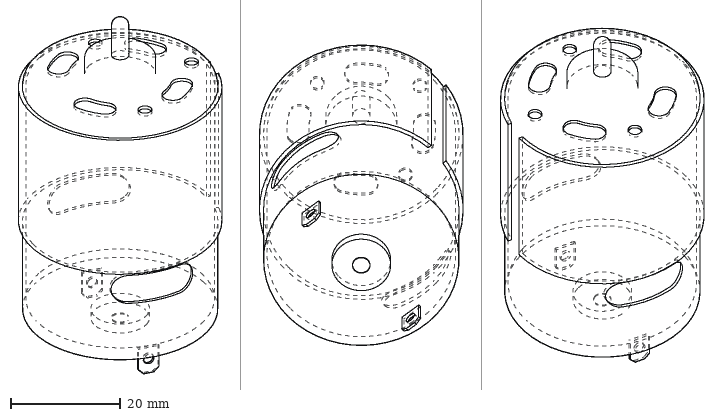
import cadquery as cq
import math


CAN_DIAMETER = 35.75
CAN_BORE = 34.51
CAN_HEIGHT = 49.95
CAN_WALL = (CAN_DIAMETER - CAN_BORE) / 2
CAN_EDGE_RADIUS = 2.0
END_CAP_THICKNESS = 2.2

RING_DIAMETER = 37.26
RING_BOTTOM = 18.85
RING_HEIGHT = 28.8
RING_GAP = 4.2

FRONT_BOSS_DIAMETER = 13.0
FRONT_BOSS_HEIGHT = 4.5
FRONT_BOSS_FILLET = 0.5
REAR_BOSS_DIAMETER = 10.75
REAR_BOSS_HEIGHT = 1.9

SHAFT_DIAMETER = 3.2
SHAFT_TOP = 62.45
SHAFT_TIP_RADIUS = 1.55
SHAFT_REAR_PROTRUSION = 0.2

HOLE_DIAMETER = 2.5
SIDE_HOLE_RADIUS = 12.5
BACK_HOLE_RADIUS = 14.0
VENT_COUNT = 4
VENT_PITCH_RADIUS = 11.6
VENT_HALF_ANGLE = 10.0
VENT_WIDTH = 4.0

WINDOW_LENGTH = 16.0
WINDOW_HEIGHT = 6.0
WINDOW_CENTRE_Z = 15.1

TAB_THICKNESS = 0.5
TAB_WIDTH = 4.0
TAB_LENGTH = 5.5
TAB_CHAMFER = 1.0
TAB_OFFSET = 14.2
TAB_HOLE_DIAMETER = 2.0
TAB_HOLE_DEPTH = 2.5


def cylinder(diameter, bottom, top):
    """Solid cylinder on the motor axis between two heights."""
    return cq.Workplane("XY").workplane(offset=bottom).circle(diameter / 2).extrude(top - bottom)


def make_can():
    """Can with a rounded front edge and filleted front boss, hollowed down to the end cap."""
    boss_top = CAN_HEIGHT + FRONT_BOSS_HEIGHT
    can = cylinder(CAN_DIAMETER, 0, CAN_HEIGHT)
    can = can.union(cylinder(FRONT_BOSS_DIAMETER, CAN_HEIGHT - CAN_WALL, boss_top))
    can = can.edges(cq.selectors.RadiusNthSelector(0)).fillet(FRONT_BOSS_FILLET)
    can = can.edges(cq.selectors.RadiusNthSelector(-1)).edges(">Z").fillet(CAN_EDGE_RADIUS)
    cavity = cylinder(CAN_BORE, END_CAP_THICKNESS, CAN_HEIGHT - CAN_WALL)
    cavity = cavity.faces(">Z").edges().fillet(CAN_EDGE_RADIUS - CAN_WALL)
    return can.cut(cavity)


def make_ring():
    """Flux ring around the can, split on the +Y side."""
    ring_top = RING_BOTTOM + RING_HEIGHT
    ring = cylinder(RING_DIAMETER, RING_BOTTOM, ring_top)
    ring = ring.cut(cylinder(CAN_DIAMETER, RING_BOTTOM, ring_top))
    gap = (
        cq.Workplane("XY")
        .workplane(offset=RING_BOTTOM)
        .center(0, RING_DIAMETER / 2)
        .rect(RING_GAP, RING_DIAMETER)
        .extrude(RING_HEIGHT)
    )
    return ring.cut(gap)


def polar_point(radius, angle):
    """Point in the XY plane at a radius and an angle in degrees from +X."""
    radians = math.radians(angle)
    return (radius * math.cos(radians), radius * math.sin(radians))


def make_vent(middle_angle):
    """Cutter for one curved vent with round ends, following a circle about the motor axis."""
    inner_radius = VENT_PITCH_RADIUS - VENT_WIDTH / 2
    outer_radius = VENT_PITCH_RADIUS + VENT_WIDTH / 2
    start = middle_angle - VENT_HALF_ANGLE
    end = middle_angle + VENT_HALF_ANGLE
    outline = (
        cq.Workplane("XY")
        .workplane(offset=CAN_HEIGHT)
        .moveTo(*polar_point(outer_radius, start))
        .threePointArc(polar_point(outer_radius, middle_angle), polar_point(outer_radius, end))
        .tangentArcPoint(polar_point(inner_radius, end), relative=False)
        .threePointArc(polar_point(inner_radius, middle_angle), polar_point(inner_radius, start))
        .tangentArcPoint(polar_point(outer_radius, start), relative=False)
        .close()
    )
    return outline.extrude(-CAN_WALL)


def make_front_openings():
    """Cutters for the three round holes and the ring of vents in the front face."""
    hole_centres = [(-SIDE_HOLE_RADIUS, 0), (SIDE_HOLE_RADIUS, 0), (0, BACK_HOLE_RADIUS)]
    face = cq.Workplane("XY").workplane(offset=CAN_HEIGHT)
    cutters = face.pushPoints(hole_centres).circle(HOLE_DIAMETER / 2).extrude(-CAN_WALL)
    vent_step = 360 / VENT_COUNT
    for index in range(VENT_COUNT):
        cutters = cutters.add(make_vent(vent_step * (index + 0.5)))
    return cutters.combine()


def make_windows():
    """Cutter for the two facing windows in the -X and +X sides of the can."""
    return (
        cq.Workplane("YZ")
        .center(0, WINDOW_CENTRE_Z)
        .slot2D(WINDOW_LENGTH, WINDOW_HEIGHT)
        .extrude(CAN_DIAMETER / 2, both=True)
    )


def make_shaft_ends():
    """Round-tipped output end at the front and the short stub at the rear."""
    output = cylinder(SHAFT_DIAMETER, CAN_HEIGHT, SHAFT_TOP)
    output = output.faces(">Z").edges().fillet(SHAFT_TIP_RADIUS)
    stub = cylinder(SHAFT_DIAMETER, -REAR_BOSS_HEIGHT - SHAFT_REAR_PROTRUSION, 0)
    return output.union(stub)


def make_tab(centre_x):
    """Solder tab under the end cap with chamfered tip corners and a wire hole."""
    tab = (
        cq.Workplane("XY")
        .center(centre_x, 0)
        .rect(TAB_THICKNESS, TAB_WIDTH)
        .extrude(-TAB_LENGTH)
        .faces("<Z")
        .edges("|X")
        .chamfer(TAB_CHAMFER)
    )
    hole = (
        cq.Workplane("YZ")
        .workplane(offset=centre_x)
        .center(0, -TAB_HOLE_DEPTH)
        .circle(TAB_HOLE_DIAMETER / 2)
        .extrude(TAB_THICKNESS, both=True)
    )
    return tab.cut(hole)


result = make_can().cut(make_windows()).cut(make_front_openings())
result = result.union(make_ring())
result = result.union(cylinder(REAR_BOSS_DIAMETER, -REAR_BOSS_HEIGHT, 0))
result = result.union(make_shaft_ends())
for side in (-1, 1):
    result = result.union(make_tab(side * TAB_OFFSET))